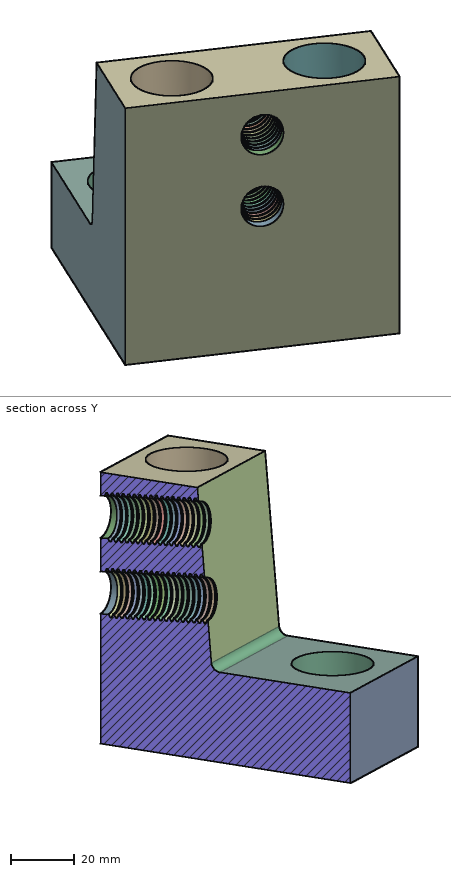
import cadquery as cq
import math

LENGTH = 90.0
WIDTH = 90.0
HEIGHT = 90.0

STEP_HEIGHT = 30.0
FACE_FOOT_X = 49.75
FACE_TILT = 5.0
ROOT_RADIUS = 3.0

BOLT_XS = (20.0, 72.5)
BOLT_SPACING_Y = 50.0
BOLT_DIAMETER = 17.5
COUNTERBORE_DIAMETER = 26.0
COUNTERBORE_DEPTH = 17.0

THREAD_DIAMETER = 16.0
THREAD_PITCH = 2.0
FLANK_HALF_ANGLE = 30.0
CREST_FLAT = THREAD_PITCH / 4
ROOT_FLAT = THREAD_PITCH / 8
LOWER_TAP_HEIGHT = 53.4
TAP_SPACING = 25.0

tilt = math.radians(FACE_TILT)
tilt_slope = math.tan(tilt)
upper_tap_height = LOWER_TAP_HEIGHT + TAP_SPACING * math.cos(tilt)
flank_width = (THREAD_PITCH - CREST_FLAT - ROOT_FLAT) / 2
thread_depth = flank_width / math.tan(math.radians(FLANK_HALF_ANGLE))


def face_x(z):
    """X of the stop face at height z."""
    return FACE_FOOT_X + (z - STEP_HEIGHT) * tilt_slope


def make_body():
    """Stepped block with a tilted stop face and a rounded inner corner."""
    body = (
        cq.Workplane("XZ", origin=(0, WIDTH / 2, 0))
        .moveTo(0, 0)
        .lineTo(LENGTH, 0)
        .lineTo(LENGTH, HEIGHT)
        .lineTo(face_x(HEIGHT), HEIGHT)
        .lineTo(FACE_FOOT_X, STEP_HEIGHT)
        .lineTo(0, STEP_HEIGHT)
        .close()
        .extrude(WIDTH)
    )
    corner = cq.selectors.NearestToPointSelector((FACE_FOOT_X, 0, STEP_HEIGHT))
    return body.edges(corner).fillet(ROOT_RADIUS)


def bolt_hole(x, y, top_z):
    """Vertical through hole with a counterbore sunk from height top_z."""
    shank = cq.Workplane("XY").center(x, y).circle(BOLT_DIAMETER / 2).extrude(top_z)
    counterbore = (
        cq.Workplane("XY", origin=(x, y, top_z - COUNTERBORE_DEPTH))
        .circle(COUNTERBORE_DIAMETER / 2)
        .extrude(COUNTERBORE_DEPTH)
    )
    return shank.union(counterbore)


def tap_hole(z):
    """Through hole square to the stop face at height z, with its thread as a row of ring grooves."""
    root_radius = THREAD_DIAMETER / 2
    bore_radius = root_radius - thread_depth
    wall_depth = (LENGTH - face_x(z)) / math.cos(tilt) - bore_radius * tilt_slope
    groove_count = int(wall_depth // THREAD_PITCH)

    profile = cq.Workplane("XZ").moveTo(-bore_radius, 0).lineTo(-bore_radius, bore_radius)
    for groove in range(groove_count):
        groove_start = groove * THREAD_PITCH + CREST_FLAT
        profile = (
            profile.lineTo(groove_start, bore_radius)
            .lineTo(groove_start + flank_width, root_radius)
            .lineTo(groove_start + flank_width + ROOT_FLAT, root_radius)
            .lineTo(groove_start + 2 * flank_width + ROOT_FLAT, bore_radius)
        )
    profile = profile.lineTo(LENGTH, bore_radius).lineTo(LENGTH, 0).close()
    cutter = profile.revolve(360, (0, 0, 0), (1, 0, 0))
    return cutter.rotate((0, 0, 0), (0, 1, 0), FACE_TILT).translate((face_x(z), 0, z))


result = make_body()
for bolt_x, top_z in zip(BOLT_XS, (STEP_HEIGHT, HEIGHT)):
    for bolt_y in (-BOLT_SPACING_Y / 2, BOLT_SPACING_Y / 2):
        result = result.cut(bolt_hole(bolt_x, bolt_y, top_z))
for tap_z in (LOWER_TAP_HEIGHT, upper_tap_height):
    result = result.cut(tap_hole(tap_z))